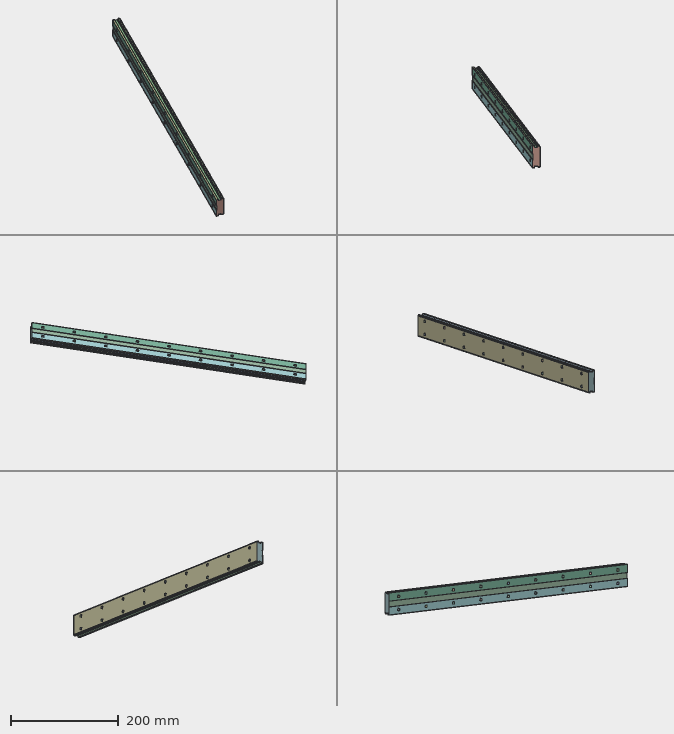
import cadquery as cq

length = 520.0
thickness = 15.0
height = 42.0

flange_thickness = 3.5
groove_wall_run = 1.0
groove_depth = 2.5
groove_end = 9.0

bead_bevel_start = 10.5
bead_bevel_end = 14.0
shoulder_drop = 1.3
back_edge_drop = 2.0
raceway_center = 12.2
raceway_width = 2.5

relief_height = 11.0
relief_depth = 1.0

hole_diameter = 4.5
holes_per_row = 9
hole_pitch = 60.0
row_count = 2
row_spacing = 25.0

half_height = height / 2
half_relief = relief_height / 2
groove_floor = half_height - groove_depth
shoulder = half_height - shoulder_drop
raceway_start = raceway_center - raceway_width / 2
raceway_end = raceway_center + raceway_width / 2


def make_rail_body():
    """Extrude the upper half of the cross-section along X and mirror it."""
    half_profile = (
        cq.Workplane("YZ", origin=(-length / 2, 0, 0))
        .moveTo(relief_depth, 0)
        .lineTo(relief_depth, half_relief)
        .lineTo(0, half_relief)
        .lineTo(0, half_height)
        .lineTo(flange_thickness, half_height)
        .lineTo(flange_thickness + groove_wall_run, groove_floor)
        .lineTo(groove_end, groove_floor)
        .lineTo(bead_bevel_start, shoulder)
        .lineTo(raceway_start, shoulder)
        .threePointArc((raceway_center, half_height), (raceway_end, shoulder))
        .lineTo(bead_bevel_end, shoulder)
        .lineTo(thickness, half_height - back_edge_drop)
        .lineTo(thickness, 0)
        .close()
    )
    half = half_profile.extrude(length)
    return half.union(half.mirror("XY")).clean()


def drill_screw_holes(body):
    """Drill both rows of holes through the rail along Y."""
    centers = cq.Workplane("XZ").rarray(hole_pitch, row_spacing, holes_per_row, row_count)
    drills = centers.circle(hole_diameter / 2).extrude(-thickness)
    return body.cut(drills)


result = drill_screw_holes(make_rail_body())